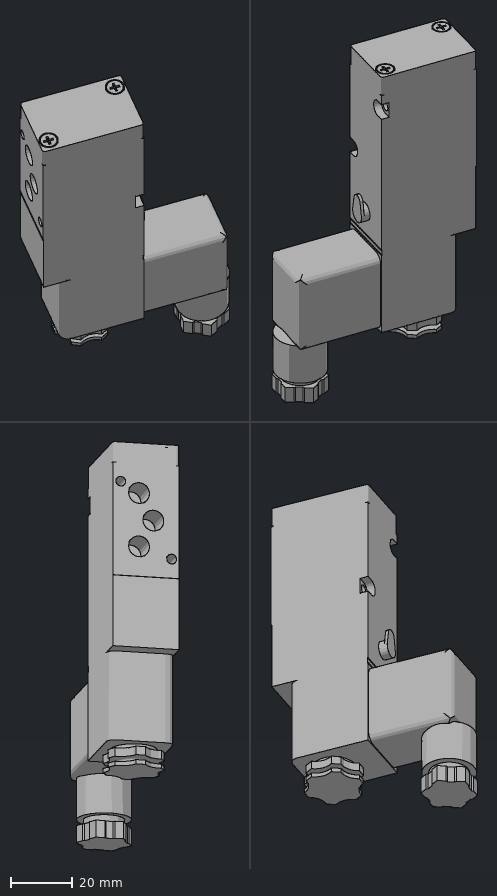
import cadquery as cq
import math


BODY_WIDTH = 22.3
BODY_DEPTH = 35.0
TOTAL_HEIGHT = 120.0
CAP_HEIGHT = 7.0
CAP_FILLET = 1.0
BODY_BOTTOM = 75.0
PILOT_BOTTOM = 52.9
PLATE_BOTTOM = 51.1
PILOT_INSET = 0.2
BODY_TOP = TOTAL_HEIGHT - CAP_HEIGHT

HOLES_CENTRE_Z = 94.1
PORT_DIAMETER = 7.0
PORT_DEPTH = 12.0
PORT_PITCH = 9.0
PORT_OFFSET_X = 2.4
MOUNT_DIAMETER = 3.2
MOUNT_OFFSET_X = 8.5
MOUNT_OFFSET_Z = 12.6
SEAT_DIAMETER = 5.6
SEAT_DEPTH = 2.9

SCREW_HOLE_DIAMETER = 6.2
SCREW_HEAD_DIAMETER = 5.5
SCREW_GAP_DEPTH = 1.0
SCREW_OFFSET_X = 7.0
SCREW_FRONT_Y = 3.5
SCREW_REAR_Y = 31.5
CROSS_LENGTH = 3.2
CROSS_WIDTH = 0.6
CROSS_DEPTH = 1.0

BUTTON_DIAMETER = 6.2
BUTTON_REACH = 3.1
BUTTON_Z = 61.9
LEVER_THICKNESS = 1.1
LEVER_TOP_Z = 69.0
LEVER_TIP_RADIUS = 2.2

COIL_FRONT_Y = 6.5
COIL_BOTTOM = 21.1
COIL_FILLET = 3.0

NUT_Y = 17.4
NUT_STEM_DIAMETER = 15.0
NUT_STEM_BOTTOM = 19.7
NUT_CORE_DIAMETER = 13.5
NUT_GROOVE_TOP = 16.8
NUT_GROOVE_BOTTOM = 15.1
NUT_BOTTOM = 13.7
LOBE_COUNT = 6
LOBE_REACH = 10.0
LOBE_WIDTH = 3.2
VALLEY_RADIUS = 8.3

HOUSING_WIDTH = 21.4
HOUSING_REAR_Y = 65.0
HOUSING_TOP = 50.4
HOUSING_BOTTOM = 21.5
HOUSING_ROUND = 3.4

GLAND_Y = 59.0
GLAND_DIAMETER = 18.0
GLAND_RIM_Z = 22.5
GLAND_CONE_HEIGHT = 1.8
GLAND_CONE_INSET = 3.2
GLAND_BOTTOM = 8.2
NECK_DIAMETER = 13.5
CLAMP_NUT_HEIGHT = 5.8
CLAMP_NUT_FLATS = 16.1
CLAMP_NUT_SIDES = 6
CLAMP_RECESS_FLOOR = 2.4
CLAMP_RECESS_DEPTH = 0.5


def block(width, y_front, y_rear, z_bottom, z_top):
    """Box centred on X between the given Y and Z limits."""
    size = (width, y_rear - y_front, z_top - z_bottom)
    return cq.Workplane("XY").box(*size, centered=(True, False, False)).translate((0, y_front, z_bottom))


def upright(diameter, y, z_bottom, z_top):
    """Cylinder along Z on the middle plane."""
    return cq.Workplane("XY", origin=(0, y, z_bottom)).circle(diameter / 2).extrude(z_top - z_bottom)


def along_y(diameter, x, z, y_start, y_end):
    """Cylinder along Y."""
    return cq.Workplane("XZ", origin=(x, y_start, z)).circle(diameter / 2).extrude(y_start - y_end)


def valve_stack():
    cap = block(BODY_WIDTH, 0, BODY_DEPTH, BODY_TOP, TOTAL_HEIGHT).edges("|Z").fillet(CAP_FILLET)
    body = block(BODY_WIDTH, 0, BODY_DEPTH, BODY_BOTTOM, BODY_TOP)
    pilot = block(BODY_WIDTH, PILOT_INSET, BODY_DEPTH, PILOT_BOTTOM, BODY_BOTTOM)
    plate = block(BODY_WIDTH, PILOT_INSET, BODY_DEPTH - PILOT_INSET, PLATE_BOTTOM, PILOT_BOTTOM)
    return cap.union(body, clean=False).union(pilot, clean=False).union(plate, clean=False)


def ports():
    """Three blind ports: the outer two on one side of the middle plane, the inner one on the other."""
    cuts = cq.Workplane("XY")
    for row in (-1, 0, 1):
        x = PORT_OFFSET_X if row == 0 else -PORT_OFFSET_X
        cuts = cuts.add(along_y(PORT_DIAMETER, x, HOLES_CENTRE_Z + row * PORT_PITCH, 0, PORT_DEPTH))
    return cuts.combine()


def mounting_hole(side):
    """Through hole whose screw seat in the rear face opens out through the side of the body."""
    x = side * MOUNT_OFFSET_X
    z = HOLES_CENTRE_Z - side * MOUNT_OFFSET_Z
    seat_floor_y = BODY_DEPTH - SEAT_DEPTH
    hole = along_y(MOUNT_DIAMETER, x, z, 0, BODY_DEPTH)
    seat = along_y(SEAT_DIAMETER, x, z, seat_floor_y, BODY_DEPTH)
    mouth_length = BODY_WIDTH / 2 - MOUNT_OFFSET_X
    mouth = cq.Workplane("XY").box(mouth_length, SEAT_DEPTH, SEAT_DIAMETER)
    mouth = mouth.translate((x + side * mouth_length / 2, seat_floor_y + SEAT_DEPTH / 2, z))
    return hole.union(seat).union(mouth)


def cap_screw(x, y):
    """Ring gap around the screw head plus its cross recess."""
    top = cq.Workplane("XY", origin=(x, y, TOTAL_HEIGHT))
    gap = top.circle(SCREW_HOLE_DIAMETER / 2).circle(SCREW_HEAD_DIAMETER / 2).extrude(-SCREW_GAP_DEPTH)
    bar = top.rect(CROSS_LENGTH, CROSS_WIDTH).extrude(-CROSS_DEPTH)
    cross_bar = top.rect(CROSS_WIDTH, CROSS_LENGTH).extrude(-CROSS_DEPTH)
    return gap.union(bar).union(cross_bar)


def manual_override():
    rear_y = BODY_DEPTH + BUTTON_REACH
    button_radius = BUTTON_DIAMETER / 2
    button = along_y(BUTTON_DIAMETER, 0, BUTTON_Z, BODY_DEPTH, rear_y)
    tip_z = LEVER_TOP_Z - LEVER_TIP_RADIUS - BUTTON_Z
    slope_sin = (button_radius - LEVER_TIP_RADIUS) / tip_z
    slope_cos = math.sqrt(1 - slope_sin**2)
    low_x, low_z = button_radius * slope_cos, button_radius * slope_sin
    high_x, high_z = LEVER_TIP_RADIUS * slope_cos, tip_z + LEVER_TIP_RADIUS * slope_sin
    lever = (
        cq.Workplane("XZ", origin=(0, rear_y, BUTTON_Z))
        .moveTo(-low_x, low_z)
        .lineTo(-high_x, high_z)
        .threePointArc((0, tip_z + LEVER_TIP_RADIUS), (high_x, high_z))
        .lineTo(low_x, low_z)
        .threePointArc((0, -button_radius), (-low_x, low_z))
        .close()
        .extrude(LEVER_THICKNESS)
    )
    return button.union(lever)


def coil():
    body = block(BODY_WIDTH, COIL_FRONT_Y, BODY_DEPTH, COIL_BOTTOM, PLATE_BOTTOM)
    return body.faces("<Y").edges("|Z").fillet(COIL_FILLET)


def lobed_flange(z_bottom, z_top):
    """Six flat-ended lobes joined by hollow arcs."""
    corner_radius = math.hypot(LOBE_REACH, LOBE_WIDTH / 2)
    half_lobe = math.atan2(LOBE_WIDTH / 2, LOBE_REACH)
    step = 2 * math.pi / LOBE_COUNT

    def polar(radius, angle):
        return (radius * math.cos(angle), radius * math.sin(angle))

    first_lobe = math.pi / 2
    start = polar(corner_radius, first_lobe - half_lobe)
    outline = cq.Workplane("XY", origin=(0, NUT_Y, z_bottom)).moveTo(*start)
    for index in range(LOBE_COUNT):
        lobe = first_lobe + index * step
        outline = outline.lineTo(*polar(corner_radius, lobe + half_lobe))
        valley = polar(VALLEY_RADIUS, lobe + step / 2)
        outline = outline.threePointArc(valley, polar(corner_radius, lobe + step - half_lobe))
    return outline.close().extrude(z_top - z_bottom)


def retaining_nut():
    stem = upright(NUT_STEM_DIAMETER, NUT_Y, NUT_STEM_BOTTOM, COIL_BOTTOM)
    core = upright(NUT_CORE_DIAMETER, NUT_Y, NUT_BOTTOM, NUT_STEM_BOTTOM)
    groove_radius = (NUT_GROOVE_TOP - NUT_GROOVE_BOTTOM) / 2
    groove = cq.Solid.makeTorus(
        NUT_CORE_DIAMETER / 2,
        groove_radius,
        cq.Vector(0, NUT_Y, NUT_GROOVE_BOTTOM + groove_radius),
        cq.Vector(0, 0, 1),
    )
    nut = stem.union(core).cut(cq.Workplane(groove))
    nut = nut.union(lobed_flange(NUT_GROOVE_TOP, NUT_STEM_BOTTOM))
    return nut.union(lobed_flange(NUT_BOTTOM, NUT_GROOVE_BOTTOM))


def connector_housing():
    """Box rounded along all three axes, so that its rounds meet in mitred corners."""
    front_y = BODY_DEPTH - HOUSING_ROUND

    def rounded(axis):
        box = block(HOUSING_WIDTH, front_y, HOUSING_REAR_Y, HOUSING_BOTTOM, HOUSING_TOP)
        return box.edges("|" + axis).fillet(HOUSING_ROUND)

    return rounded("X").intersect(rounded("Y")).intersect(rounded("Z"))


def cable_gland():
    barrel = upright(GLAND_DIAMETER, GLAND_Y, GLAND_BOTTOM, GLAND_RIM_Z + GLAND_CONE_HEIGHT)
    barrel = barrel.faces(">Z").chamfer(GLAND_CONE_HEIGHT, GLAND_CONE_INSET)
    neck = upright(NECK_DIAMETER, GLAND_Y, CLAMP_NUT_HEIGHT, GLAND_BOTTOM)
    return barrel.union(neck).union(clamp_nut())


def clamp_nut():
    """Hexagon nut with a shallow flared recess down the middle of each side."""
    corner_diameter = CLAMP_NUT_FLATS / math.cos(math.pi / CLAMP_NUT_SIDES)
    base = cq.Workplane("XY", origin=(0, GLAND_Y, 0))
    nut = base.polygon(CLAMP_NUT_SIDES, corner_diameter).extrude(CLAMP_NUT_HEIGHT)
    side_y = -CLAMP_NUT_FLATS / 2
    floor_y = side_y + CLAMP_RECESS_DEPTH
    half_floor = CLAMP_RECESS_FLOOR / 2
    half_mouth = half_floor + CLAMP_RECESS_DEPTH
    recess_outline = [
        (-half_mouth, side_y),
        (half_mouth, side_y),
        (half_floor, floor_y),
        (-half_floor, floor_y),
    ]
    recess = base.polyline(recess_outline).close().extrude(CLAMP_NUT_HEIGHT)
    for side in range(CLAMP_NUT_SIDES):
        turn = side * 360 / CLAMP_NUT_SIDES
        nut = nut.cut(recess.rotate((0, GLAND_Y, 0), (0, GLAND_Y, 1), turn))
    return nut


result = valve_stack()
for feature in (manual_override(), coil(), retaining_nut(), connector_housing(), cable_gland()):
    result = result.union(feature, clean=False)
cuts = [
    ports(),
    mounting_hole(-1),
    mounting_hole(1),
    cap_screw(-SCREW_OFFSET_X, SCREW_REAR_Y),
    cap_screw(SCREW_OFFSET_X, SCREW_FRONT_Y),
]
for feature in cuts:
    result = result.cut(feature, clean=False)